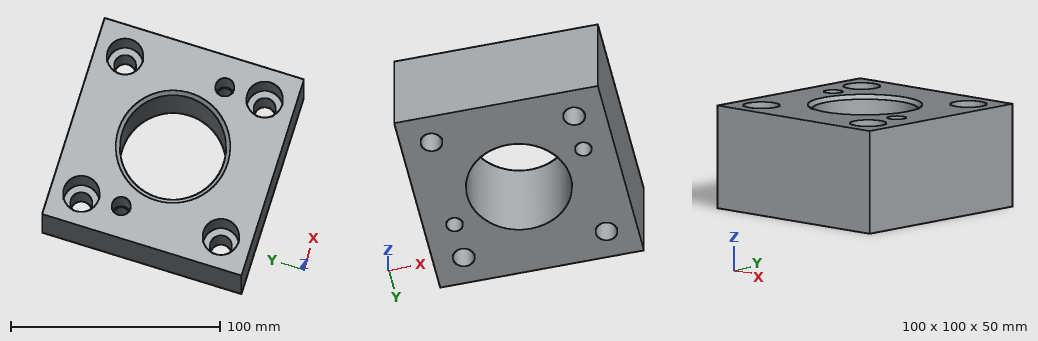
import cadquery as cq

side = 100.0
height = 50.0

bore_diameter = 50.8
bore_chamfer = 2.0

hole_offset = 35.0
screw_diameter = 10.5
head_diameter = 17.5
head_depth = height / 2

pin_offset_y = 15.0
pin_diameter = 8.0
pin_mouth_diameter = 9.0
pin_mouth_depth = height / 2

screw_points = [(x, y) for x in (-hole_offset, hole_offset) for y in (-hole_offset, hole_offset)]
pin_points = [(-hole_offset, pin_offset_y), (hole_offset, -pin_offset_y)]


def make_block():
    """Square block centred on the origin in X and Y, standing on Z = 0."""
    return cq.Workplane("XY").box(side, side, height, centered=(True, True, False))


def cut_bore(body):
    """Through bore whose upper rim is chamfered."""
    body = body.faces(">Z").workplane().hole(bore_diameter)
    return body.faces(">Z").edges("%CIRCLE").chamfer(bore_chamfer)


def cut_stepped_holes(body, points, diameter, mouth_diameter, mouth_depth):
    """Through holes, each with a wider flat-bottomed mouth in the top face."""
    top = body.faces(">Z").workplane(origin=(0, 0, height))
    return top.pushPoints(points).cboreHole(diameter, mouth_diameter, mouth_depth)


result = make_block()
result = cut_bore(result)
result = cut_stepped_holes(result, screw_points, screw_diameter, head_diameter, head_depth)
result = cut_stepped_holes(result, pin_points, pin_diameter, pin_mouth_diameter, pin_mouth_depth)